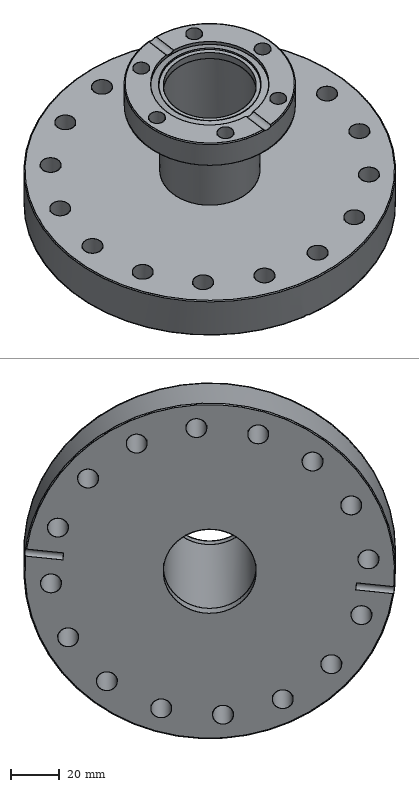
import cadquery as cq

total_height = 70.0
edge_chamfer = 0.5
bore_diameter = 38.0

tube_diameter = 41.0
tube_seat_setback = 4.7

large_diameter = 152.0
large_thickness = 20.0
large_bolt_circle = 130.3
large_bolt_hole = 8.5
large_bolt_count = 16
large_groove_width = 3.2
large_groove_depth = 0.9
large_groove_inner_diameter = 120.5

small_diameter = 70.0
small_thickness = 12.9
small_bolt_circle = 58.7
small_bolt_hole = 6.8
small_bolt_count = 6
small_groove_width = 4.1
small_groove_depth = 0.9

recess_diameter = 48.3
recess_wall_depth = 1.7
knife_diameter = 42.0
knife_depth = 0.6
ledge_diameter = 41.5
ledge_depth = 1.2

small_bottom = total_height - small_thickness
tube_bottom = tube_seat_setback
tube_top = total_height - tube_seat_setback


def cylinder(diameter, bottom, top):
    """Vertical cylinder on the Z axis."""
    return cq.Workplane("XY").workplane(offset=bottom).circle(diameter / 2).extrude(top - bottom)


def flange_blank(diameter, bottom, top):
    """Disc with both rims chamfered."""
    return cylinder(diameter, bottom, top).edges("%CIRCLE").chamfer(edge_chamfer)


def bolt_holes(circle_diameter, hole_diameter, count, bottom, top):
    """Ring of through holes, the first one on the +Y axis."""
    return (
        cq.Workplane("XY")
        .workplane(offset=bottom)
        .polarArray(circle_diameter / 2, 90, 360, count)
        .circle(hole_diameter / 2)
        .extrude(top - bottom)
    )


def leak_grooves(inner_diameter, outer_diameter, width, depth, face_level, inward, angle):
    """Two opposite round-bottomed radial grooves; inward is the Z sign pointing into the flange."""
    groove_radius = ((width / 2) ** 2 + depth**2) / (2 * depth)
    axis_level = face_level + inward * (depth - groove_radius)
    rod = cq.Workplane("YZ").center(0, axis_level).circle(groove_radius).extrude(outer_diameter / 2, both=True)
    rod = rod.cut(cylinder(inner_diameter, axis_level - 2 * groove_radius, axis_level + 2 * groove_radius))
    return rod.rotate((0, 0, 0), (0, 0, 1), angle)


def sealing_recess():
    """Recess whose sloping floor rises to a knife edge around the bore ledge."""
    profile = [
        (0, total_height),
        (recess_diameter / 2, total_height),
        (recess_diameter / 2, total_height - recess_wall_depth),
        (knife_diameter / 2, total_height - knife_depth),
        (ledge_diameter / 2, total_height - ledge_depth),
        (0, total_height - ledge_depth),
    ]
    return cq.Workplane("XZ").polyline(profile).close().revolve(360, (0, 0, 0), (0, 1, 0))


def make_large_flange():
    half_bolt_pitch = 180 / large_bolt_count
    return (
        flange_blank(large_diameter, 0, large_thickness)
        .cut(cylinder(bore_diameter, 0, large_thickness))
        .cut(cylinder(tube_diameter, tube_bottom, large_thickness))
        .cut(bolt_holes(large_bolt_circle, large_bolt_hole, large_bolt_count, 0, large_thickness))
        .cut(
            leak_grooves(
                large_groove_inner_diameter, large_diameter, large_groove_width,
                large_groove_depth, 0, 1, -half_bolt_pitch,
            )
        )
    )


def make_small_flange():
    return (
        flange_blank(small_diameter, small_bottom, total_height)
        .cut(cylinder(bore_diameter, small_bottom, total_height))
        .cut(cylinder(tube_diameter, small_bottom, tube_top))
        .cut(bolt_holes(small_bolt_circle, small_bolt_hole, small_bolt_count, small_bottom, total_height))
        .cut(sealing_recess())
        .cut(
            leak_grooves(
                recess_diameter, small_diameter, small_groove_width,
                small_groove_depth, total_height, -1, 0,
            )
        )
    )


def make_tube():
    return cylinder(tube_diameter, tube_bottom, tube_top).cut(cylinder(bore_diameter, tube_bottom, tube_top))


large_flange = make_large_flange()
small_flange = make_small_flange()
tube = make_tube()

bodies = [large_flange, small_flange, tube]
result = cq.Compound.makeCompound([body.solids().val() for body in bodies])